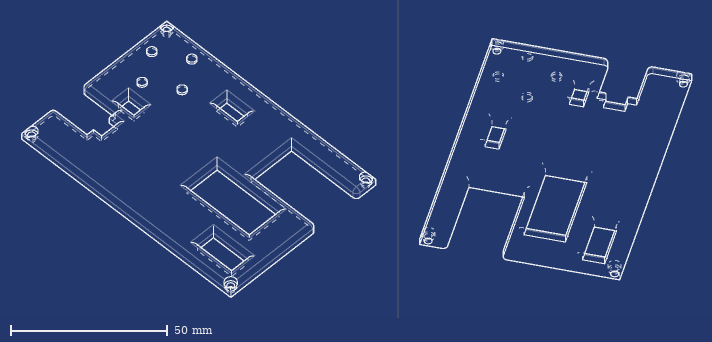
import cadquery as cq
import math

plate_length = 94.0
plate_width = 66.0
plate_thickness = 4.0
edge_radius = 1.6

left_slot_depth = 15.2
left_slot_width = 13.0
left_slot_center_y = 20.9
notch_depth = 3.7
notch_width = 7.1

right_slot_depth = 29.1
right_slot_width = 18.3
right_slot_center_y = 47.9

windows = [
    (40.8, 54.4, 9.4, 4.7),
    (16.6, 33.0, 7.0, 4.7),
    (67.5, 27.9, 27.9, 13.6),
    (80.3, 10.15, 15.4, 7.3),
]

screw_inset = 2.3
screw_hole_diameter = 2.5
screw_head_diameter = 4.2
screw_head_depth = 2.0

pin_count = 4
pin_diameter = 3.4
pin_height = 0.9
pin_ring_radius = 9.3
pin_ring_center = (15.6, 50.3)
first_pin_angle = 76.0


def through_box(center_x, center_y, length, width):
    """Box that spans the plate thickness, used to cut an opening."""
    box = cq.Workplane("XY").box(length, width, plate_thickness, centered=(True, True, False))
    return box.translate((center_x, center_y, 0))


def plate_blank():
    """Plate with both edge slots; the corners at the slot mouths are rounded."""
    plate = cq.Workplane("XY").box(plate_length, plate_width, plate_thickness, centered=False)
    left_slot = through_box(
        left_slot_depth / 2, left_slot_center_y, left_slot_depth, left_slot_width
    )
    notch_reach = left_slot_depth + notch_depth
    notch = through_box(notch_reach / 2, left_slot_center_y, notch_reach, notch_width)
    right_slot = through_box(
        plate_length - right_slot_depth / 2, right_slot_center_y, right_slot_depth, right_slot_width
    )
    plate = plate.cut(left_slot).cut(notch).cut(right_slot)

    for x, center_y, width in (
        (0, left_slot_center_y, left_slot_width),
        (plate_length, right_slot_center_y, right_slot_width),
    ):
        for side in (-1, 1):
            mouth_corner = (x, center_y + side * width / 2, plate_thickness / 2)
            plate = plate.edges(cq.NearestToPointSelector(mouth_corner)).fillet(edge_radius)
    return plate


def cut_windows(plate):
    for center_x, center_y, length, width in windows:
        plate = plate.cut(through_box(center_x, center_y, length, width))
    return plate


def cut_screw_holes(plate):
    corners = [
        (x, y)
        for x in (screw_inset, plate_length - screw_inset)
        for y in (screw_inset, plate_width - screw_inset)
    ]
    top = cq.Workplane("XY").workplane(offset=plate_thickness).pushPoints(corners)
    head_seats = top.circle(screw_head_diameter / 2).extrude(-screw_head_depth)
    holes = top.circle(screw_hole_diameter / 2).extrude(-plate_thickness)
    return plate.cut(head_seats).cut(holes)


def add_pins(plate):
    center_x, center_y = pin_ring_center
    for index in range(pin_count):
        angle = math.radians(first_pin_angle + index * 360 / pin_count)
        pin_x = center_x + pin_ring_radius * math.cos(angle)
        pin_y = center_y + pin_ring_radius * math.sin(angle)
        pin = cq.Workplane("XY").circle(pin_diameter / 2).extrude(plate_thickness + pin_height)
        plate = plate.union(pin.translate((pin_x, pin_y, 0)))
    return plate


result = cut_windows(plate_blank())
result = result.faces(">Z").edges().fillet(edge_radius)
result = cut_screw_holes(result)
result = add_pins(result)